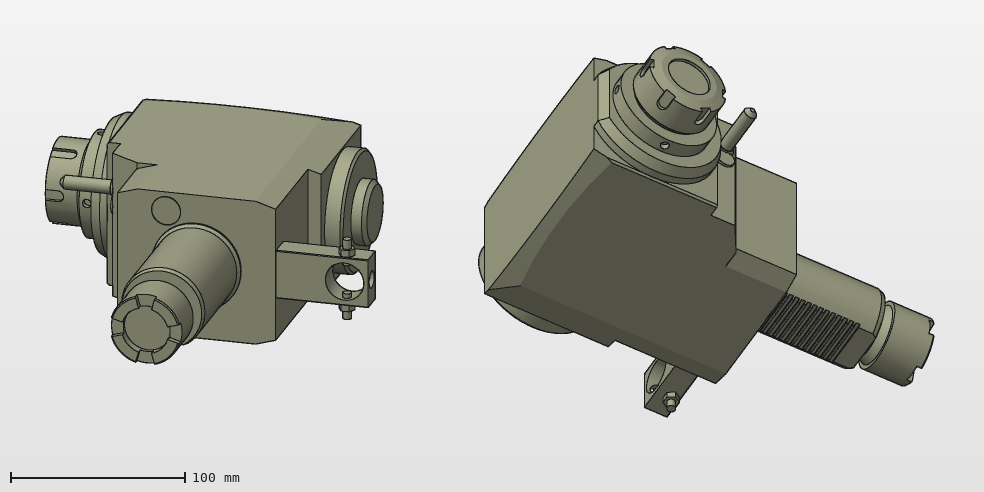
import cadquery as cq
import math


HALF_HEIGHT = 44.0
BACK_Y = 147.8
HALF_WIDTH = 47.2
SHOULDER_Y = 66.3
SPINDLE_LEFT_X = -72.6
SPINDLE_RIGHT_X = 55.0
STEP_LEFT_X = -64.8
SLOPE_BACK_Y = 50.5
SLOPE_FRONT_Y = 40.0
BEVEL_SLOPE = math.tan(math.radians(17))
BEVEL_START_X = 35.3
BACK_ARC_X = -17.8
BACK_ARC_RADIUS = 310.0
BACK_ARC_APEX_Y = 140.0
LEFT_CHAMFER = 1.3
PLUG_RADIUS = 8.6
PLUG_X = -18.3
PLUG_Z = 32.3
PLUG_DEPTH = 0.5

SPINDLE_Y = 110.0
FLANGE_RADIUS = 43.0
FLANGE_FACE_RADIUS = 40.0
FLANGE_FACE_X = -83.5
FLANGE_CONE_X = -77.5
FLANGE_FLAT_TAPER = 4.0
COLLAR_RADIUS = 31.5
COLLAR_FACE_X = -93.0
NECK_RADIUS = 22.9
NUT_RADIUS = 25.1
NUT_FACE_RADIUS = 18.0
NUT_FACE_X = -117.0
NUT_BACK_X = -94.5
NUT_FRONT_CHAMFER = 2.0
NUT_BACK_CHAMFER = 1.5
NUT_BORE_RADIUS = 13.7
NUT_BORE_DEPTH = 1.8
NUT_SLOTS = 6
NUT_UPPER_SLOTS = (1, 2)
NUT_SLOT_WIDTH = 6.5
NUT_SLOT_DEPTH = 2.5
NUT_SLOT_END_X = -104.1
NUT_LONG_SLOT_END_X = -99.8
COLLAR_HOLES = 4
COLLAR_HOLE_RADIUS = 2.5
COLLAR_HOLE_DEPTH = 3.8
COLLAR_HOLE_X = -88.5

COVER_RADIUS = 36.5
COVER_FACE_X = 65.8
COVER_CHAMFER = 1.5
BOSS_RADIUS = 19.3
BOSS_FACE_X = 74.7
BOSS_CHAMFER = 2.5

PIN_Y = 57.5
PIN_Z = 20.3
PIN_RADIUS = 4.0
PIN_TIP_X = -97.8
PIN_TIP_CHAMFER = 2.5
PIN_COLLAR_RADIUS = 6.0
PIN_COLLAR_TIP_RADIUS = 4.5
PIN_COLLAR_HEIGHT = 2.3
STEP_PLUG_Z = 10.5
STEP_PLUG_RADIUS = 5.8
STEP_PLUG_HEIGHT = 1.5

SHANK_RADIUS = 25.0
SHANK_END_Y = -71.6
SHANK_END_CHAMFER_LENGTH = 3.0
SHANK_END_CHAMFER = 1.0
SEAT_RADIUS = 26.7
SEAT_RIM_LENGTH = 1.3
SEAT_LENGTH = 3.0
SHANK_FLAT_Z = -20.0
SHANK_FLAT_START_Y = -7.5
RACK_GROOVES = 13
RACK_LENGTH = 47.8
RACK_PITCH = RACK_LENGTH / (RACK_GROOVES - 1)
RACK_FIRST_Y = -10.2
RACK_GROOVE_WIDTH = 2.5
RACK_GROOVE_DEPTH = 1.3

COUPLING_NECK_RADIUS = 15.7
COUPLING_NECK_END_Y = -74.2
COUPLING_FLARE_RADIUS = 18.5
COUPLING_START_Y = -79.5
COUPLING_RADIUS = 21.0
COUPLING_END_Y = -106.2
COUPLING_CHAMFER = 0.8
COUPLING_BORE_RADIUS = 14.0
COUPLING_SLOT_DEPTH = 3.5
COUPLING_BORE_DEPTH = 6.0
COUPLING_SLOTS = 4
COUPLING_SLOT_HALF_ANGLE = 16

ARM_END_X = 102.0
ARM_FRONT_Y = 0.8
ARM_BACK_Y = 16.0
ARM_HALF_HEIGHT = 14.7
ARM_CHAMFER = 0.5
ARM_BORE_RADIUS = 11.5
ARM_BORE_X = 88.1
ARM_SIDE_HOLE_RADIUS = 5.0
SCREW_Y = 6.0
SCREW_RADIUS = 2.5
SCREW_INNER_Z = 8.6
SCREW_OUTER_Z = 24.5
LOCK_NUT_DIAMETER = 9.7
LOCK_NUT_TOP_Z = 18.8


def cylinder(center, axis, radius, length):
    """Solid cylinder from a start point along an axis vector."""
    return cq.Workplane(obj=cq.Solid.makeCylinder(radius, length, cq.Vector(*center), cq.Vector(*axis)))


def box(x_range, y_range, z_range):
    """Box given by its lower and upper bounds."""
    (x0, x1), (y0, y1), (z0, z1) = x_range, y_range, z_range
    return cq.Workplane().box(x1 - x0, y1 - y0, z1 - z0, centered=False).translate((x0, y0, z0))


def turned_about_x(profile, y, z=0.0):
    """Revolve (x, radius) points about a line parallel to X."""
    return (
        cq.Workplane("XY").polyline(profile).close()
        .revolve(360, (0, 0, 0), (1, 0, 0)).translate((0, y, z))
    )


def side_bevel(edge_x, start_x, y_range):
    """Two wedges that slope the top and bottom down from start_x to edge_x."""
    y0, y1 = y_range
    drop = abs(edge_x - start_x) * BEVEL_SLOPE
    wedge = (
        cq.Workplane("XZ", origin=(0, y1, 0))
        .polyline([(start_x, HALF_HEIGHT), (edge_x, HALF_HEIGHT - drop), (edge_x, HALF_HEIGHT)])
        .close().extrude(y1 - y0)
    )
    return wedge.union(wedge.mirror("XY"))


def back_cone():
    """Double cone about a vertical axis that bevels the back of the housing."""
    axis_y = BACK_ARC_APEX_Y - BACK_ARC_RADIUS
    wide_radius = BACK_ARC_RADIUS + HALF_HEIGHT / BEVEL_SLOPE
    profile = [
        (0, -HALF_HEIGHT),
        (BACK_ARC_RADIUS, -HALF_HEIGHT),
        (wide_radius, 0),
        (BACK_ARC_RADIUS, HALF_HEIGHT),
        (0, HALF_HEIGHT),
    ]
    cone = cq.Workplane("XZ").polyline(profile).close().revolve(360, (0, 0, 0), (0, 1, 0))
    return cone.translate((BACK_ARC_X, axis_y, 0))


def housing():
    outline = [
        (-HALF_WIDTH, 0),
        (HALF_WIDTH, 0),
        (HALF_WIDTH, SHOULDER_Y),
        (SPINDLE_RIGHT_X, SHOULDER_Y),
        (SPINDLE_RIGHT_X, BACK_Y),
        (SPINDLE_LEFT_X, BACK_Y),
        (SPINDLE_LEFT_X, SHOULDER_Y),
        (STEP_LEFT_X, SHOULDER_Y),
        (STEP_LEFT_X, SLOPE_BACK_Y),
        (-HALF_WIDTH, SLOPE_FRONT_Y),
    ]
    body = (
        cq.Workplane("XY").workplane(offset=-HALF_HEIGHT)
        .polyline(outline).close().extrude(2 * HALF_HEIGHT)
        .faces("<X").edges("|Y").chamfer(LEFT_CHAMFER)
    )
    body = body.cut(side_bevel(SPINDLE_RIGHT_X, BEVEL_START_X, (0, BACK_Y)))
    body = body.cut(side_bevel(-HALF_WIDTH, -BEVEL_START_X, (0, SLOPE_FRONT_Y)))
    body = body.intersect(back_cone())
    return body.cut(cylinder((PLUG_X, 0, PLUG_Z), (0, 1, 0), PLUG_RADIUS, PLUG_DEPTH))


def flange():
    profile = [
        (SPINDLE_LEFT_X, 0),
        (SPINDLE_LEFT_X, FLANGE_RADIUS),
        (FLANGE_CONE_X, FLANGE_RADIUS),
        (FLANGE_FACE_X, FLANGE_FACE_RADIUS),
        (FLANGE_FACE_X, 0),
    ]
    front_y = SPINDLE_Y - FLANGE_RADIUS
    trimmed_outline = [
        (SPINDLE_LEFT_X, front_y),
        (SPINDLE_LEFT_X, BACK_Y),
        (FLANGE_CONE_X, BACK_Y),
        (FLANGE_FACE_X, BACK_Y - FLANGE_FLAT_TAPER),
        (FLANGE_FACE_X, front_y),
    ]
    trim = cq.Workplane("XY").polyline(trimmed_outline).close().extrude(FLANGE_RADIUS, both=True)
    return turned_about_x(profile, SPINDLE_Y).intersect(trim)


def collar():
    ring = cylinder((FLANGE_FACE_X, SPINDLE_Y, 0), (-1, 0, 0), COLLAR_RADIUS, FLANGE_FACE_X - COLLAR_FACE_X)
    hole = cylinder(
        (COLLAR_HOLE_X, SPINDLE_Y, COLLAR_RADIUS), (0, 0, -1), COLLAR_HOLE_RADIUS, COLLAR_HOLE_DEPTH
    )
    for i in range(COLLAR_HOLES):
        angle = i * 360 / COLLAR_HOLES
        ring = ring.cut(hole.rotate((0, SPINDLE_Y, 0), (1, SPINDLE_Y, 0), angle))
    return ring


def clamping_nut():
    profile = [
        (COLLAR_FACE_X, 0),
        (COLLAR_FACE_X, NECK_RADIUS),
        (NUT_BACK_X, NECK_RADIUS),
        (NUT_BACK_X, NUT_RADIUS - NUT_BACK_CHAMFER),
        (NUT_BACK_X - NUT_BACK_CHAMFER, NUT_RADIUS),
        (NUT_FACE_X + NUT_FRONT_CHAMFER, NUT_RADIUS),
        (NUT_FACE_X, NUT_FACE_RADIUS),
        (NUT_FACE_X, NUT_BORE_RADIUS),
        (NUT_FACE_X + NUT_BORE_DEPTH, NUT_BORE_RADIUS),
        (NUT_FACE_X + NUT_BORE_DEPTH, 0),
    ]
    nut = turned_about_x(profile, SPINDLE_Y)
    for i in range(NUT_SLOTS):
        angle = -i * 360 / NUT_SLOTS
        end_x = NUT_LONG_SLOT_END_X if i in NUT_UPPER_SLOTS else NUT_SLOT_END_X
        nut = nut.cut(nut_slot(end_x).rotate((0, SPINDLE_Y, 0), (1, SPINDLE_Y, 0), angle))
    return nut


def nut_slot(end_x):
    """Round-ended wrench slot on the -Y side of the nut, open at its face."""
    half_width = NUT_SLOT_WIDTH / 2
    round_x = end_x - half_width
    floor_y = SPINDLE_Y - NUT_RADIUS + NUT_SLOT_DEPTH
    return (
        cq.Workplane("XZ", origin=(0, floor_y, 0))
        .moveTo(NUT_FACE_X, -half_width)
        .lineTo(round_x, -half_width)
        .threePointArc((end_x, 0), (round_x, half_width))
        .lineTo(NUT_FACE_X, half_width)
        .close().extrude(2 * NUT_SLOT_DEPTH)
    )


def right_cover():
    profile = [
        (SPINDLE_RIGHT_X, 0),
        (SPINDLE_RIGHT_X, COVER_RADIUS),
        (COVER_FACE_X - COVER_CHAMFER, COVER_RADIUS),
        (COVER_FACE_X, COVER_RADIUS - COVER_CHAMFER),
        (COVER_FACE_X, BOSS_RADIUS),
        (BOSS_FACE_X - BOSS_CHAMFER, BOSS_RADIUS),
        (BOSS_FACE_X, BOSS_RADIUS - BOSS_CHAMFER),
        (BOSS_FACE_X, 0),
    ]
    return turned_about_x(profile, SPINDLE_Y)


def coolant_pin():
    collar_x = STEP_LEFT_X - PIN_COLLAR_HEIGHT
    profile = [
        (STEP_LEFT_X, 0),
        (STEP_LEFT_X, PIN_COLLAR_RADIUS),
        (collar_x, PIN_COLLAR_TIP_RADIUS),
        (collar_x, PIN_RADIUS),
        (PIN_TIP_X + PIN_TIP_CHAMFER, PIN_RADIUS),
        (PIN_TIP_X, PIN_RADIUS - PIN_TIP_CHAMFER),
        (PIN_TIP_X, 0),
    ]
    pin = turned_about_x(profile, PIN_Y, PIN_Z)
    plug = cylinder((STEP_LEFT_X, PIN_Y, STEP_PLUG_Z), (-1, 0, 0), STEP_PLUG_RADIUS, STEP_PLUG_HEIGHT)
    return pin.union(plug)


def shank():
    """Shank and coupling turned about the Y axis, as (radius, y) points."""
    turned = (
        cq.Workplane("XY")
        .polyline([
            (0, 0),
            (SEAT_RADIUS, 0),
            (SEAT_RADIUS, -SEAT_RIM_LENGTH),
            (SHANK_RADIUS, -SEAT_LENGTH),
            (SHANK_RADIUS, SHANK_END_Y + SHANK_END_CHAMFER_LENGTH),
            (SHANK_RADIUS - SHANK_END_CHAMFER, SHANK_END_Y),
            (COUPLING_NECK_RADIUS, SHANK_END_Y),
            (COUPLING_NECK_RADIUS, COUPLING_NECK_END_Y),
            (COUPLING_FLARE_RADIUS, COUPLING_START_Y),
            (COUPLING_RADIUS, COUPLING_START_Y),
            (COUPLING_RADIUS, COUPLING_END_Y + COUPLING_CHAMFER),
            (COUPLING_RADIUS - COUPLING_CHAMFER, COUPLING_END_Y),
            (COUPLING_BORE_RADIUS, COUPLING_END_Y),
            (COUPLING_BORE_RADIUS, COUPLING_END_Y + COUPLING_BORE_DEPTH),
            (0, COUPLING_END_Y + COUPLING_BORE_DEPTH),
        ])
        .close().revolve(360, (0, 0, 0), (0, 1, 0))
    )
    across = (-SEAT_RADIUS, SEAT_RADIUS)
    turned = turned.cut(box(across, (SHANK_END_Y, SHANK_FLAT_START_Y), (-SEAT_RADIUS, SHANK_FLAT_Z)))
    for i in range(RACK_GROOVES):
        y = RACK_FIRST_Y - i * RACK_PITCH
        y_range = (y - RACK_GROOVE_WIDTH / 2, y + RACK_GROOVE_WIDTH / 2)
        turned = turned.cut(box(across, y_range, (SHANK_FLAT_Z, SHANK_FLAT_Z + RACK_GROOVE_DEPTH)))
    return turned.cut(coupling_slots())


def coupling_slots():
    """Radial wedge slots across the end ring of the coupling."""
    reach = 2 * COUPLING_RADIUS
    half_width = reach * math.tan(math.radians(COUPLING_SLOT_HALF_ANGLE))
    wedge = (
        cq.Workplane("XZ", origin=(0, COUPLING_END_Y + COUPLING_SLOT_DEPTH, 0))
        .polyline([(0, 0), (reach, -half_width), (reach, half_width)])
        .close().extrude(COUPLING_SLOT_DEPTH)
    )
    slots = wedge
    for i in range(1, COUPLING_SLOTS):
        slots = slots.union(wedge.rotate((0, 0, 0), (0, 1, 0), i * 360 / COUPLING_SLOTS))
    return slots


def set_screw():
    """Upper set screw with its hexagonal lock nut."""
    screw = cylinder(
        (ARM_BORE_X, SCREW_Y, SCREW_INNER_Z), (0, 0, 1), SCREW_RADIUS, SCREW_OUTER_Z - SCREW_INNER_Z
    )
    lock_nut = (
        cq.Workplane("XY", origin=(ARM_BORE_X, SCREW_Y, ARM_HALF_HEIGHT))
        .polygon(6, LOCK_NUT_DIAMETER).extrude(LOCK_NUT_TOP_Z - ARM_HALF_HEIGHT)
    )
    return screw.union(lock_nut)


def side_arm():
    arm = box((HALF_WIDTH, ARM_END_X), (ARM_FRONT_Y, ARM_BACK_Y), (-ARM_HALF_HEIGHT, ARM_HALF_HEIGHT))
    arm = arm.faces("<Y").edges("|X").chamfer(ARM_CHAMFER)
    arm = arm.cut(cylinder((ARM_BORE_X, 0, 0), (0, 1, 0), ARM_BORE_RADIUS, ARM_BACK_Y))
    middle_y = (ARM_FRONT_Y + ARM_BACK_Y) / 2
    arm = arm.cut(
        cylinder((ARM_BORE_X, middle_y, 0), (1, 0, 0), ARM_SIDE_HOLE_RADIUS, ARM_END_X - ARM_BORE_X)
    )
    upper_screw = set_screw()
    return arm.union(upper_screw).union(upper_screw.mirror("XY"))


result = (
    housing()
    .union(flange())
    .union(collar())
    .union(clamping_nut())
    .union(right_cover())
    .union(coolant_pin())
    .union(shank())
    .union(side_arm())
)